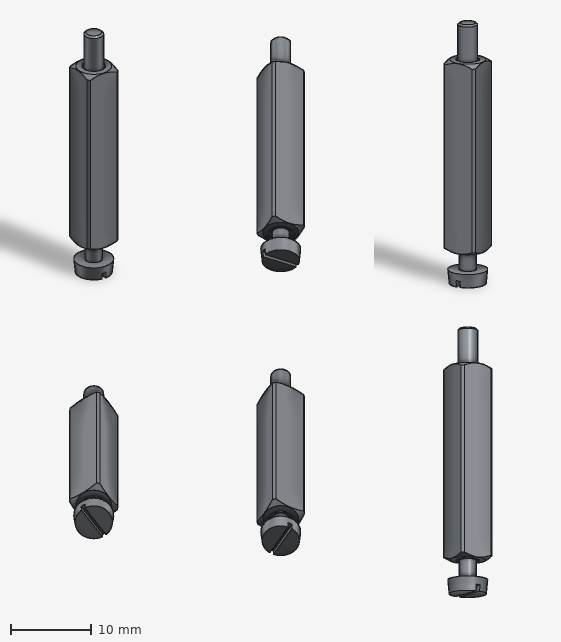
import cadquery as cq
import math

head_height = 1.8
head_gap = 2.5
spacer_length = 24.75
total_length = 33.8
spacer_bottom = head_height + head_gap
spacer_top = spacer_bottom + spacer_length

spacer_width = 4.6
edge_chamfer = 0.3
bore_diameter = 2.9
end_face_diameter = 4.5
end_cone_angle = 30.0

head_top_diameter = 5.0
head_bottom_diameter = 4.65
neck_diameter = 2.15
thread_diameter = 2.5
tip_diameter = 1.95
tip_height = 0.25
slot_width = 0.55
slot_depth = 0.8


def make_end_envelope():
    """Round body whose conical ends bevel the corners of the square bar."""
    face_radius = end_face_diameter / 2
    outer_radius = spacer_width / math.sqrt(2)
    cone_height = (outer_radius - face_radius) * math.tan(math.radians(end_cone_angle))
    profile = (
        cq.Workplane("XZ")
        .moveTo(0, spacer_bottom)
        .lineTo(face_radius, spacer_bottom)
        .lineTo(outer_radius, spacer_bottom + cone_height)
        .lineTo(outer_radius, spacer_top - cone_height)
        .lineTo(face_radius, spacer_top)
        .lineTo(0, spacer_top)
        .close()
    )
    return profile.revolve(360, (0, 0), (0, 1))


def make_spacer():
    """Square bar with chamfered edges, bevelled ends and a clearance bore."""
    bar = (
        cq.Workplane("XY")
        .workplane(offset=spacer_bottom)
        .rect(spacer_width, spacer_width)
        .extrude(spacer_length)
        .edges("|Z")
        .chamfer(edge_chamfer)
    )
    bore = (
        cq.Workplane("XY")
        .workplane(offset=spacer_bottom)
        .circle(bore_diameter / 2)
        .extrude(spacer_length)
    )
    return bar.intersect(make_end_envelope()).cut(bore)


def make_screw():
    """Tapered head, thin neck and wider threaded end, with a slot along X."""
    profile = (
        cq.Workplane("XZ")
        .moveTo(0, 0)
        .lineTo(head_bottom_diameter / 2, 0)
        .lineTo(head_top_diameter / 2, head_height)
        .lineTo(neck_diameter / 2, head_height)
        .lineTo(neck_diameter / 2, spacer_bottom)
        .lineTo(thread_diameter / 2, spacer_bottom)
        .lineTo(thread_diameter / 2, total_length - tip_height)
        .lineTo(tip_diameter / 2, total_length)
        .lineTo(0, total_length)
        .close()
    )
    slot = cq.Workplane("XY").rect(head_top_diameter, slot_width).extrude(slot_depth)
    return profile.revolve(360, (0, 0), (0, 1)).cut(slot)


spacer = make_spacer()
screw = make_screw()

result = cq.Compound.makeCompound([spacer.val(), screw.val()])